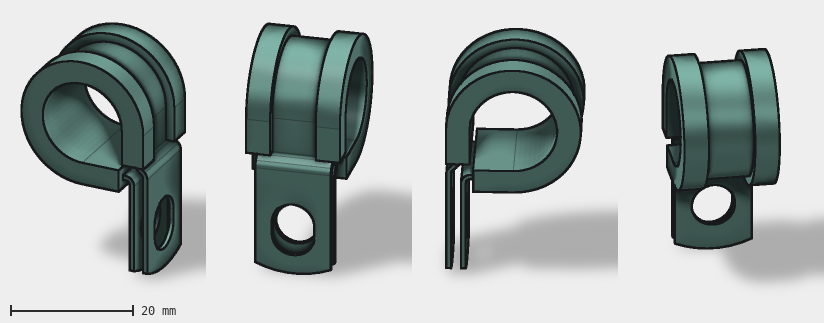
import cadquery as cq
import math

loop_radius = 11.0
cushion_wall = 3.85
cushion_width = 15.75
groove_width = 7.65
side_end_z = -6.05
bottom_end_x = 6.55

band_radius = 9.48
band_thickness = 0.8
tab_width = 12.63
tab_gap = 1.6
tab_bottom_z = loop_radius - 37.92
tip_rise = 1.33
hole_diameter = 7.13
slot_length = 9.1
hole_z = -19.07
inner_bend = band_thickness
outer_bend = inner_bend + band_thickness
jog_angle = math.radians(45)

bore_radius = loop_radius - cushion_wall
band_inner = band_radius - band_thickness
outer_tab_inside = loop_radius - band_thickness
inner_tab_outside = outer_tab_inside - tab_gap


def loop_solid(outer, inner, width):
    """Three-quarter ring with a straight leg down the +X side and another along the bottom."""
    return (
        cq.Workplane("XZ")
        .moveTo(outer, side_end_z)
        .lineTo(outer, 0)
        .threePointArc((-outer * math.sqrt(0.5), outer * math.sqrt(0.5)), (0, -outer))
        .lineTo(bottom_end_x, -outer)
        .lineTo(bottom_end_x, -inner)
        .lineTo(0, -inner)
        .threePointArc((-inner * math.sqrt(0.5), inner * math.sqrt(0.5)), (inner, 0))
        .lineTo(inner, side_end_z)
        .close()
        .extrude(width / 2, both=True)
    )


def arc_point(center, radius, angle):
    return (center[0] + radius * math.cos(angle), center[1] + radius * math.sin(angle))


def bent_tab():
    """Tab that leaves the bottom leg and turns down through a right angle."""
    center = (inner_tab_outside - outer_bend, -band_inner - outer_bend)
    return (
        cq.Workplane("XZ")
        .moveTo(0, -band_inner)
        .lineTo(center[0], -band_inner)
        .threePointArc(arc_point(center, outer_bend, math.pi / 4), (inner_tab_outside, center[1]))
        .lineTo(inner_tab_outside, tab_bottom_z)
        .lineTo(inner_tab_outside - band_thickness, tab_bottom_z)
        .lineTo(inner_tab_outside - band_thickness, center[1])
        .threePointArc(arc_point(center, inner_bend, math.pi / 4), (center[0], -band_radius))
        .lineTo(0, -band_radius)
        .close()
        .extrude(tab_width / 2, both=True)
    )


def jogged_tab():
    """Tab that leaves the side leg and steps outward to the loop's outer edge."""
    upper = (band_radius + inner_bend, side_end_z)
    bend_sum = inner_bend + outer_bend
    jog_shift = loop_radius - band_radius
    slope_shift = jog_shift - bend_sum * (1 - math.cos(jog_angle))
    jog_drop = bend_sum * math.sin(jog_angle) + slope_shift / math.tan(jog_angle)
    lower = (loop_radius - outer_bend, side_end_z - jog_drop)
    upper_end = math.pi + jog_angle
    upper_mid = math.pi + jog_angle / 2
    return (
        cq.Workplane("XZ")
        .moveTo(band_radius, 0)
        .lineTo(band_radius, side_end_z)
        .threePointArc(arc_point(upper, inner_bend, upper_mid), arc_point(upper, inner_bend, upper_end))
        .lineTo(*arc_point(lower, outer_bend, jog_angle))
        .threePointArc(arc_point(lower, outer_bend, jog_angle / 2), (loop_radius, lower[1]))
        .lineTo(loop_radius, tab_bottom_z)
        .lineTo(outer_tab_inside, tab_bottom_z)
        .lineTo(outer_tab_inside, lower[1])
        .threePointArc(arc_point(lower, inner_bend, jog_angle / 2), arc_point(lower, inner_bend, jog_angle))
        .lineTo(*arc_point(upper, outer_bend, upper_end))
        .threePointArc(arc_point(upper, outer_bend, upper_mid), (band_inner, side_end_z))
        .lineTo(band_inner, 0)
        .close()
        .extrude(tab_width / 2, both=True)
    )


def tab_envelope():
    """Tab outline across Y and Z: straight sides and a shallow rounded tip."""
    return (
        cq.Workplane("YZ")
        .moveTo(-tab_width / 2, 0)
        .lineTo(-tab_width / 2, tab_bottom_z + tip_rise)
        .threePointArc((0, tab_bottom_z), (tab_width / 2, tab_bottom_z + tip_rise))
        .lineTo(tab_width / 2, 0)
        .close()
        .extrude(loop_radius)
    )


cushion = loop_solid(loop_radius, bore_radius, cushion_width)
groove = loop_solid(loop_radius, band_radius, groove_width)
cushion = cushion.cut(groove)

hole_plane = cq.Workplane("YZ").center(0, hole_z)
bolt_hole = hole_plane.circle(hole_diameter / 2).extrude(loop_radius)
bolt_slot = hole_plane.slot2D(slot_length, hole_diameter, 90).extrude(loop_radius)
inner_tab = bent_tab().intersect(tab_envelope()).cut(bolt_hole)
outer_tab = jogged_tab().intersect(tab_envelope()).cut(bolt_slot)

result = cushion.union(inner_tab).union(outer_tab)